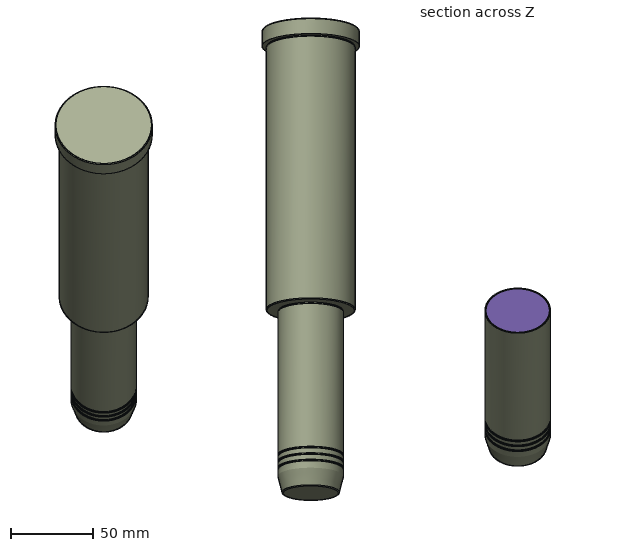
import cadquery as cq

total_length = 291.0
head_thickness = 10.0
body_bottom = 115.0
lead_in_height = 10.5

head_diameter = 59.0
body_diameter = 54.0
shank_diameter = 40.0
tip_diameter = 34.5

edge_chamfer = 0.5

groove_width = 1.0
groove_depth = 0.5
groove_count = 3
groove_pitch = 4.0
lowest_groove_bottom = 15.0


def cylinder(diameter, bottom, top):
    """Solid cylinder on the Z axis between two heights."""
    return cq.Workplane("XY").workplane(offset=bottom).circle(diameter / 2).extrude(top - bottom)


def lead_in():
    """Tapered tip that widens from the chamfered end face up to the shank."""
    taper = (
        cq.Workplane("XY")
        .circle(tip_diameter / 2)
        .workplane(offset=lead_in_height)
        .circle(shank_diameter / 2)
        .loft(ruled=True)
    )
    return taper.faces("<Z").chamfer(edge_chamfer)


def ring_groove(diameter, bottom):
    """Shallow ring to remove from a cylinder of the given diameter."""
    top = bottom + groove_width
    core = cylinder(diameter - 2 * groove_depth, bottom, top)
    return cylinder(diameter, bottom, top).cut(core)


head_bottom = total_length - head_thickness
head = cylinder(head_diameter, head_bottom, total_length).faces(">Z").chamfer(edge_chamfer)
body = cylinder(body_diameter, body_bottom, head_bottom).faces("<Z").chamfer(edge_chamfer)
shank = cylinder(shank_diameter, lead_in_height, body_bottom)
result = head.union(body).union(shank).union(lead_in())

result = result.cut(ring_groove(body_diameter, head_bottom - groove_width))
result = result.cut(ring_groove(shank_diameter, body_bottom - groove_width))

for index in range(groove_count):
    groove_bottom = lowest_groove_bottom + index * groove_pitch
    result = result.cut(ring_groove(shank_diameter, groove_bottom))